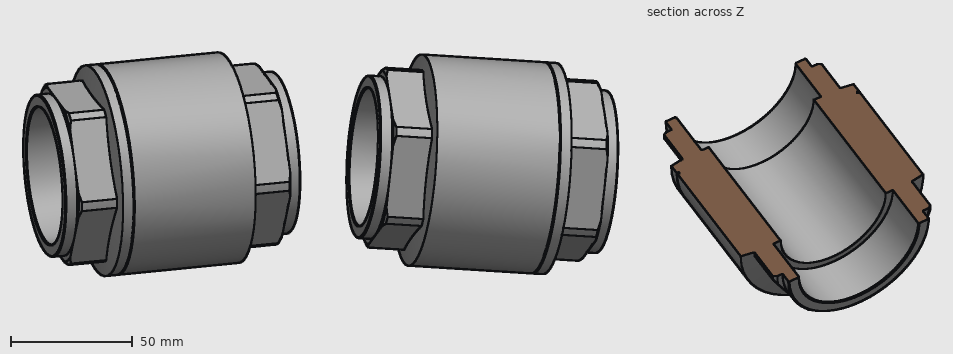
import cadquery as cq
import math

length = 100.0
body_diameter = 87.0

shoulder_inset = 20.2
body_edge_inset = 21.8
groove_diameter = 85.0
groove_width = 0.5
groove_inset = 26.3

collar_diameter = 67.0
collar_length = 5.0
rim_chamfer = 0.4

across_flats = collar_diameter
hex_corner_diameter = 75.2
hex_chamfer_radial = 1.6
hex_chamfer_axial = 0.9

bore_diameter = 50.0
socket_diameter = 56.7
socket_depth = 20.8
socket_chamfer = 0.4

half_length = length / 2
body_radius = body_diameter / 2
collar_radius = collar_diameter / 2


def revolve_profile(points):
    """Revolve a closed (radius, y) outline about the Y axis."""
    return cq.Workplane("XY").polyline(points).close().revolve(360, (0, 0, 0), (0, 1, 0))


def tube(outer_radius, inner_radius, y_start, y_end):
    """Ring or disc between two positions along Y."""
    return revolve_profile([
        (inner_radius, y_start),
        (outer_radius, y_start),
        (outer_radius, y_end),
        (inner_radius, y_end),
    ])


def make_core():
    """Body and both collars as one turned solid."""
    shoulder_y = half_length - shoulder_inset
    body_edge_y = half_length - body_edge_inset
    upper = [
        (body_radius, body_edge_y),
        (collar_radius, shoulder_y),
        (collar_radius, half_length - rim_chamfer),
        (collar_radius - rim_chamfer, half_length),
        (0, half_length),
    ]
    lower = [(radius, -y) for radius, y in reversed(upper)]
    return revolve_profile(lower + upper)


def make_hexagons():
    """One long hexagon with rounded corners, chamfered at both ends."""
    corner_radius = hex_corner_diameter / 2
    hex_end = half_length - collar_length
    upper = [
        (corner_radius, hex_end - hex_chamfer_axial),
        (corner_radius - hex_chamfer_radial, hex_end),
        (0, hex_end),
    ]
    lower = [(radius, -y) for radius, y in reversed(upper)]
    prism = (
        cq.Workplane("XZ")
        .polygon(6, across_flats / math.cos(math.pi / 6))
        .extrude(hex_end, both=True)
    )
    return prism.intersect(revolve_profile(lower + upper))


def make_groove():
    """Narrow joint groove near the front edge of the body."""
    groove_start = -half_length + groove_inset
    return tube(body_radius + groove_width, groove_diameter / 2, groove_start, groove_start + groove_width)


def make_bore():
    """Through bore with a chamfered socket at each end."""
    socket_radius = socket_diameter / 2
    bore_radius = bore_diameter / 2
    socket_floor = half_length - socket_depth
    upper = [
        (bore_radius, socket_floor),
        (socket_radius, socket_floor),
        (socket_radius, half_length - socket_chamfer),
        (socket_radius + socket_chamfer, half_length),
        (0, half_length),
    ]
    lower = [(radius, -y) for radius, y in reversed(upper)]
    return revolve_profile(lower + upper)


result = make_core().union(make_hexagons()).cut(make_groove()).cut(make_bore())